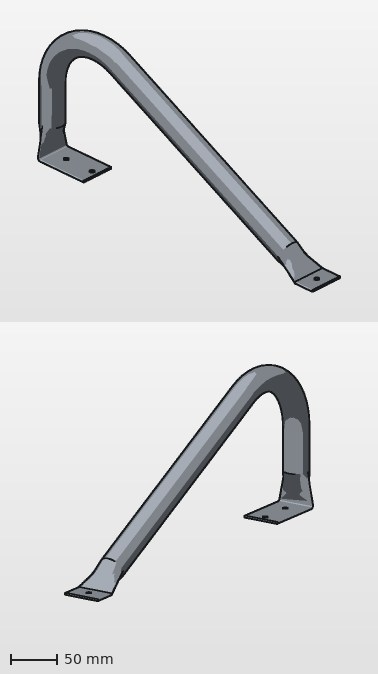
import cadquery as cq
import math

BAR_DIAMETER = 29.1
BAR_RADIUS = BAR_DIAMETER / 2
OVERALL_HEIGHT = 174.0
OVERALL_LENGTH = 427.64
BEND_RADIUS = 70.0
ARM_SLOPE = math.radians(27.7)
UPRIGHT_BOTTOM_Z = 40.0
TAPER_RUN_X = 32.0

FOOT_WIDTH = 43.8
FOOT_THICKNESS = 2.5
FOOT_MID_Z = FOOT_THICKNESS / 2
FOOT_BEND_RADIUS = 3.0
FOLD_TOP_Z = FOOT_MID_Z + FOOT_BEND_RADIUS
UPRIGHT_FOOT_END_X = 68.0
ARM_FOOT_LENGTH = 26.0
ARM_FOOT_END_X = OVERALL_LENGTH - BAR_RADIUS
ARM_FOOT_START_X = ARM_FOOT_END_X - ARM_FOOT_LENGTH

HOLE_DIAMETER = 5.5
UPRIGHT_FOOT_HOLES_X = (21.0, 60.0)
ARM_FOOT_HOLE_X = 399.0

BEND_CENTRE_X = BEND_RADIUS
BEND_CENTRE_Z = OVERALL_HEIGHT - BAR_RADIUS - BEND_RADIUS
ARM_START_X = BEND_CENTRE_X + BEND_RADIUS * math.sin(ARM_SLOPE)
ARM_START_Z = BEND_CENTRE_Z + BEND_RADIUS * math.cos(ARM_SLOPE)
ARM_END_X = ARM_FOOT_START_X - TAPER_RUN_X
ARM_END_Z = ARM_START_Z - (ARM_END_X - ARM_START_X) * math.tan(ARM_SLOPE)

UPRIGHT_BOTTOM_PLANE = cq.Plane(origin=(0, 0, UPRIGHT_BOTTOM_Z), xDir=(0, 1, 0), normal=(0, 0, -1))
ARM_END_PLANE = cq.Plane(
    origin=(ARM_END_X, 0, ARM_END_Z),
    xDir=(0, 1, 0),
    normal=(math.cos(ARM_SLOPE), 0, -math.sin(ARM_SLOPE)),
)
FOLD_PLANE = cq.Plane(origin=(0, 0, FOLD_TOP_Z), xDir=(0, 1, 0), normal=(0, 0, -1))
ARM_FOOT_PLANE = cq.Plane(origin=(ARM_FOOT_START_X, 0, FOOT_MID_Z), xDir=(0, 1, 0), normal=(1, 0, 0))


def make_bar():
    """Upright, bend and sloping arm as one swept round bar."""
    path = (
        cq.Workplane("XZ")
        .moveTo(0, UPRIGHT_BOTTOM_Z)
        .lineTo(0, BEND_CENTRE_Z)
        .radiusArc((ARM_START_X, ARM_START_Z), BEND_RADIUS)
        .lineTo(ARM_END_X, ARM_END_Z)
    )
    return cq.Workplane("XY").workplane(offset=UPRIGHT_BOTTOM_Z).circle(BAR_RADIUS).sweep(path)


def strip_section(plane):
    """Cross-section of a flattened end."""
    return cq.Workplane(plane).slot2D(FOOT_WIDTH, FOOT_THICKNESS)


def make_taper(round_plane, flat_plane):
    """Transition from the round bar to a flattened strip."""
    round_wire = cq.Workplane(round_plane).circle(BAR_RADIUS).wires().val()
    flat_wire = strip_section(flat_plane).wires().val()
    return cq.Workplane(cq.Solid.makeLoft([round_wire, flat_wire], True))


def make_upright_foot():
    """Strip folded forward from the upright."""
    path = (
        cq.Workplane("XZ")
        .moveTo(0, FOLD_TOP_Z)
        .radiusArc((FOOT_BEND_RADIUS, FOOT_MID_Z), -FOOT_BEND_RADIUS)
        .lineTo(UPRIGHT_FOOT_END_X, FOOT_MID_Z)
    )
    return strip_section(FOLD_PLANE).sweep(path)


def make_arm_foot():
    """Flat strip at the end of the arm."""
    return strip_section(ARM_FOOT_PLANE).extrude(ARM_FOOT_LENGTH)


def make_holes():
    """Vertical screw holes through both feet."""
    centres = [(x, 0) for x in (*UPRIGHT_FOOT_HOLES_X, ARM_FOOT_HOLE_X)]
    return cq.Workplane("XY").pushPoints(centres).circle(HOLE_DIAMETER / 2).extrude(FOOT_THICKNESS)


result = (
    make_bar()
    .union(make_taper(UPRIGHT_BOTTOM_PLANE, FOLD_PLANE))
    .union(make_taper(ARM_END_PLANE, ARM_FOOT_PLANE))
    .union(make_upright_foot())
    .union(make_arm_foot())
    .cut(make_holes())
)